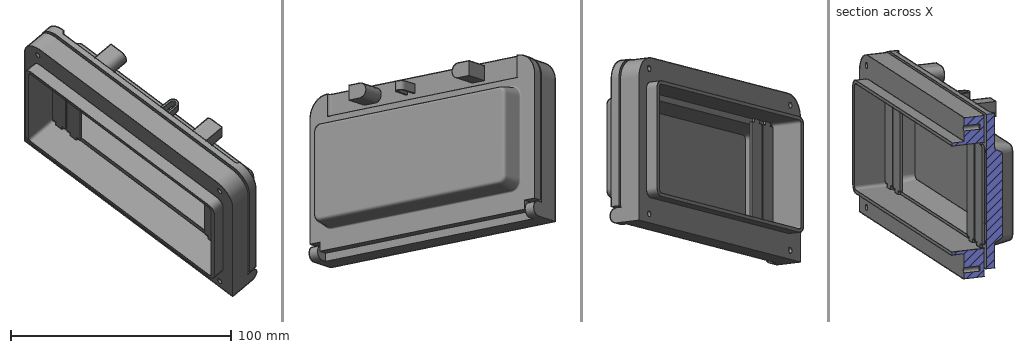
import cadquery as cq
import math

WIDTH = 130.0
HALF_WIDTH = WIDTH / 2
DEPTH = 31.0
MARGIN = 1.3

BODY_FRONT = 5.8
BODY_BACK = 16.0
BODY_HEIGHT = 76.5
TOP_CORNER_RADIUS = 10.1

RIM_WIDTH = 118.0
RIM_HEIGHT = 53.4
RIM_CENTRE_Z = 38.5
RIM_CORNER_RADIUS = 3.6
RIM_SIDE_WALL = 2.1
RIM_TOP_WALL = 1.5
OPENING_WIDTH = RIM_WIDTH - 2 * RIM_SIDE_WALL
OPENING_HEIGHT = RIM_HEIGHT - 2 * RIM_TOP_WALL
OPENING_CORNER_RADIUS = RIM_CORNER_RADIUS - RIM_SIDE_WALL

HOLE_DIAMETER = 2.6
HOLE_DEPTH = 7.8
HOLE_X = 56.8
HOLE_LOW_Z = 4.2
HOLE_HIGH_Z = 71.2

HOOK_WIDTH = 5.0
HOOK_HEIGHT = 7.0
HOOK_BACK = 21.8

BAR_WIDTH = 8.2
BAR_HEIGHT = 47.0
BAR_THICKNESS = 1.2
BAR_CORNER_RADIUS = 0.9
BAR_GAP = 0.8
BAR_INNER_EDGE_X = 39.0
NECK_WIDTH = 3.9

COVER_FRONT = 16.9
COVER_BACK = 21.2
COVER_BOTTOM_Z = 7.8
COVER_TOP_Z = 76.8
TONGUE_BOTTOM_Z = HOOK_HEIGHT / 2
TONGUE_CLEARANCE = 0.8

RECESS_DEPTH = 1.5
RECESS_FLOOR_Z = 66.3
RECESS_HALF_WIDTH = HALF_WIDTH - TOP_CORNER_RADIUS

DOME_WIDTH = 113.8
DOME_HEIGHT = 48.9
DOME_CENTRE_Z = 37.6
DOME_CORNER_RADIUS = 5.0
DOME_TAPER = 10.0
DOME_WALL = 1.7
DOME_BACK_WALL = 2.3
DOME_BACK_FILLET = 1.7
DOME_BASE_FILLET = 0.8

PEG_CENTRE_Z = 72.0
PEG_RADIUS = 3.5
PEG_ROUND_X = 28.5
PEG_FLAT_X = 34.7

LATCH_X = 8.0
LATCH_LOW_Z = 69.3
LATCH_HIGH_Z = 73.6
LATCH_BACK = 29.1
LATCH_OUTER_RADIUS = 2.5
LATCH_INNER_RADIUS = 1.4
LATCH_FLARE = 0.4
BRIDGE_LEFT_X = -5.0


def sketch_plane(y, z=0.0):
    """XZ plane at depth y with its origin at height z; positive extrusion runs toward +Y."""
    return cq.Workplane(cq.Plane(origin=(0, y, z), xDir=(-1, 0, 0), normal=(0, 1, 0)))


def box(x_range, y_range, z_range):
    """Axis-aligned box from three (low, high) pairs."""
    ranges = (x_range, y_range, z_range)
    sizes = [high - low for low, high in ranges]
    corner = tuple(low for low, high in ranges)
    return cq.Workplane("XY").box(*sizes, centered=False).translate(corner)


def round_top_plate(front, back, bottom, top):
    """Full-width plate with its two upper corners rounded."""
    plate = box((-HALF_WIDTH, HALF_WIDTH), (front, back), (bottom, top))
    return plate.edges("|Y and >Z").fillet(TOP_CORNER_RADIUS)


def rounded_block(width, height, centre_z, radius, front, back):
    block = sketch_plane(front, centre_z).rect(width, height).extrude(back - front)
    return block.edges("|Y").fillet(radius)


def make_hook(left_x):
    """Foot reaching back under the cover, ending in a half round."""
    radius = HOOK_HEIGHT / 2
    round_start = HOOK_BACK - radius
    return (
        cq.Workplane("YZ", origin=(left_x, 0, 0))
        .moveTo(BODY_FRONT, 0)
        .lineTo(round_start, 0)
        .threePointArc((HOOK_BACK, radius), (round_start, HOOK_HEIGHT))
        .lineTo(BODY_FRONT, HOOK_HEIGHT)
        .close()
        .extrude(HOOK_WIDTH)
    )


def make_bar(centre_x):
    """Flat bar held by narrow necks at the top and bottom of the opening."""
    front = BODY_BACK - BAR_THICKNESS
    bar = rounded_block(BAR_WIDTH, BAR_HEIGHT, RIM_CENTRE_Z, BAR_CORNER_RADIUS, front, BODY_BACK)
    neck_height = OPENING_HEIGHT + RIM_TOP_WALL
    neck = sketch_plane(front, RIM_CENTRE_Z).rect(NECK_WIDTH, neck_height).extrude(BAR_THICKNESS)
    return bar.union(neck).translate((centre_x, 0, 0))


def make_body():
    body = round_top_plate(BODY_FRONT, BODY_BACK, 0, BODY_HEIGHT)
    rim = rounded_block(RIM_WIDTH, RIM_HEIGHT, RIM_CENTRE_Z, RIM_CORNER_RADIUS, 0, BODY_BACK)
    opening = rounded_block(
        OPENING_WIDTH,
        OPENING_HEIGHT,
        RIM_CENTRE_Z,
        OPENING_CORNER_RADIUS,
        -MARGIN,
        BODY_BACK + MARGIN,
    )
    body = body.union(rim).cut(opening)

    hole_points = [(x, z) for x in (-HOLE_X, HOLE_X) for z in (HOLE_LOW_Z, HOLE_HIGH_Z)]
    holes = sketch_plane(BODY_FRONT).pushPoints(hole_points).circle(HOLE_DIAMETER / 2)
    body = body.cut(holes.extrude(HOLE_DEPTH))

    for left_x in (-HALF_WIDTH, HALF_WIDTH - HOOK_WIDTH):
        body = body.union(make_hook(left_x))

    inner_bar_x = BAR_INNER_EDGE_X + BAR_WIDTH / 2
    outer_bar_x = inner_bar_x + BAR_WIDTH + BAR_GAP
    for centre_x in (-outer_bar_x, -inner_bar_x, inner_bar_x, outer_bar_x):
        body = body.union(make_bar(centre_x))
    return body


def tapered_block(width, height, radius, front, back):
    """Rounded block narrowing toward the back at the dome taper."""
    outline = cq.Sketch().rect(width, height).vertices().fillet(radius)
    return sketch_plane(front, DOME_CENTRE_Z).placeSketch(outline).extrude(back - front, taper=DOME_TAPER)


def make_dome():
    dome = tapered_block(DOME_WIDTH, DOME_HEIGHT, DOME_CORNER_RADIUS, COVER_BACK, DEPTH)
    return dome.faces(">Y").edges().fillet(DOME_BACK_FILLET)


def make_dome_cavity():
    """Hollow inside the dome, widening through the cover to its front face."""
    spread = (COVER_BACK - COVER_FRONT) * math.tan(math.radians(DOME_TAPER))
    offset = spread - DOME_WALL
    return tapered_block(
        DOME_WIDTH + 2 * offset,
        DOME_HEIGHT + 2 * offset,
        DOME_CORNER_RADIUS + offset,
        COVER_FRONT,
        DEPTH - DOME_BACK_WALL,
    )


def make_recess():
    recess = box(
        (-RECESS_HALF_WIDTH, RECESS_HALF_WIDTH),
        (COVER_BACK - RECESS_DEPTH, COVER_BACK + RECESS_DEPTH),
        (RECESS_FLOOR_Z, COVER_TOP_Z + MARGIN),
    )
    return recess.edges("|Z and <Y").fillet(RECESS_DEPTH)


def make_peg():
    """Left-hand peg: flat on its outer side, half round on its inner side."""
    front = COVER_BACK - RECESS_DEPTH
    length = DEPTH - front
    block = box(
        (-PEG_FLAT_X, -PEG_ROUND_X),
        (front, DEPTH),
        (PEG_CENTRE_Z - PEG_RADIUS, PEG_CENTRE_Z + PEG_RADIUS),
    )
    nose = sketch_plane(front, PEG_CENTRE_Z).circle(PEG_RADIUS).extrude(length)
    return block.union(nose.translate((-PEG_ROUND_X, 0, 0)))


def make_cover():
    cover = round_top_plate(COVER_FRONT, COVER_BACK, COVER_BOTTOM_Z, COVER_TOP_Z)
    tongue_half_width = HALF_WIDTH - HOOK_WIDTH - TONGUE_CLEARANCE
    tongue = box(
        (-tongue_half_width, tongue_half_width),
        (COVER_FRONT, COVER_BACK),
        (TONGUE_BOTTOM_Z, COVER_BOTTOM_Z + MARGIN),
    )
    cover = cover.union(tongue).union(make_dome())
    dome_base = cq.selectors.BoxSelector(
        (-HALF_WIDTH + MARGIN, COVER_BACK - DOME_BASE_FILLET, COVER_BOTTOM_Z + MARGIN),
        (HALF_WIDTH - MARGIN, COVER_BACK + DOME_BASE_FILLET, RECESS_FLOOR_Z),
        boundingbox=True,
    )
    cover = cover.edges(dome_base).fillet(DOME_BASE_FILLET)
    cover = cover.cut(make_dome_cavity()).cut(make_recess())
    peg = make_peg()
    return cover.union(peg).union(peg.mirror("YZ"))


def latch_profile(radius):
    """Upright arch with legs flaring outward down to the body."""
    round_start = LATCH_BACK - LATCH_OUTER_RADIUS
    foot = radius + LATCH_FLARE
    return (
        cq.Workplane("XY", origin=(LATCH_X, 0, LATCH_LOW_Z))
        .moveTo(-foot, BODY_BACK)
        .lineTo(-radius, round_start)
        .threePointArc((0, round_start + radius), (radius, round_start))
        .lineTo(foot, BODY_BACK)
        .close()
        .extrude(LATCH_HIGH_Z - LATCH_LOW_Z)
    )


def make_latch():
    """Spring loop through the cover, with a bridge across the gap beside it."""
    loop = latch_profile(LATCH_OUTER_RADIUS).cut(latch_profile(LATCH_INNER_RADIUS))
    bridge = box(
        (BRIDGE_LEFT_X, LATCH_X - LATCH_OUTER_RADIUS),
        (BODY_BACK, COVER_FRONT),
        (LATCH_LOW_Z, LATCH_HIGH_Z),
    )
    return loop.union(bridge)


result = make_body().union(make_cover()).union(make_latch())